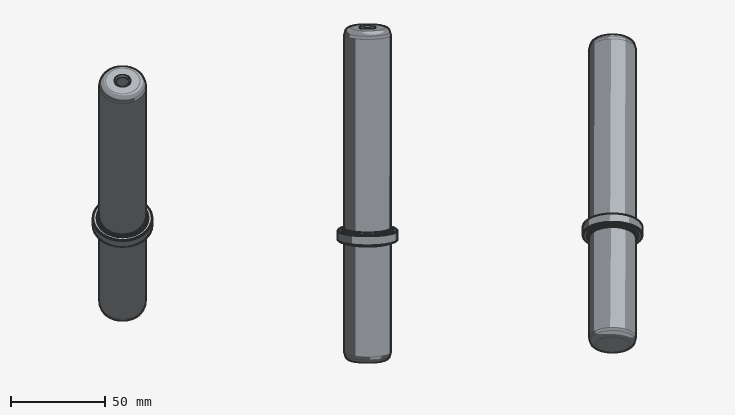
import cadquery as cq
import math

length = 180.0
shaft_radius = 12.51
collar_radius = 16.0

end_flat_radius = 9.2
taper_start = 4.0
taper_end = 2.3
taper_end_radius = 12.0

collar_bottom = 64.6
collar_top = 70.4
collar_chamfer = 0.5
relief_radius = 12.0
relief_height = 1.0
relief_straight_height = 0.5
relief_face_depth = 0.4
relief_floor_radius = 13.1
relief_face_radius = 13.9

hole_radius = 3.5
hole_depth = 20.0
countersink_radius = 4.3
countersink_depth = 0.9
drill_point_angle = 118.0


def make_shaft():
    """Revolve the plain shaft with its tapered and rounded ends."""
    run = taper_end_radius - end_flat_radius
    arc_radius = (run**2 + taper_end**2) / (2 * taper_end)
    half_angle = math.atan2(taper_end, run)
    mid_radius = end_flat_radius + arc_radius * math.sin(half_angle)
    mid_inset = arc_radius * (1 - math.cos(half_angle))
    profile = (
        cq.Workplane("XZ")
        .lineTo(end_flat_radius, 0)
        .threePointArc((mid_radius, mid_inset), (taper_end_radius, taper_end))
        .lineTo(shaft_radius, taper_start)
        .lineTo(shaft_radius, length - taper_start)
        .lineTo(taper_end_radius, length - taper_end)
        .threePointArc((mid_radius, length - mid_inset), (end_flat_radius, length))
        .lineTo(0, length)
        .close()
    )
    return profile.revolve(360, (0, 0, 0), (0, 1, 0))


def make_collar():
    """Disc around the shaft with both outer edges chamfered."""
    return (
        cq.Workplane("XY", origin=(0, 0, collar_bottom))
        .circle(collar_radius)
        .extrude(collar_top - collar_bottom)
        .edges()
        .chamfer(collar_chamfer)
    )


def make_relief(face, direction):
    """Ring-shaped undercut with sloped run-outs onto the shaft and the collar face."""
    groove_floor = face - direction * relief_face_depth
    return (
        cq.Workplane("XZ")
        .moveTo(relief_radius, groove_floor)
        .lineTo(relief_floor_radius, groove_floor)
        .lineTo(relief_face_radius, face)
        .lineTo(shaft_radius, face)
        .lineTo(shaft_radius, face + direction * relief_height)
        .lineTo(relief_radius, face + direction * relief_straight_height)
        .close()
        .revolve(360, (0, 0, 0), (0, 1, 0))
    )


def make_hole():
    """Blind drilled hole with a conical bottom and a countersunk mouth."""
    hole_bottom = length - hole_depth
    point_depth = hole_radius / math.tan(math.radians(drill_point_angle / 2))
    return (
        cq.Workplane("XZ")
        .moveTo(0, hole_bottom - point_depth)
        .lineTo(hole_radius, hole_bottom)
        .lineTo(hole_radius, length - countersink_depth)
        .lineTo(countersink_radius, length)
        .lineTo(0, length)
        .close()
        .revolve(360, (0, 0, 0), (0, 1, 0))
    )


result = make_shaft().union(make_collar())
for face, direction in ((collar_top, 1), (collar_bottom, -1)):
    result = result.cut(make_relief(face, direction))
result = result.cut(make_hole())